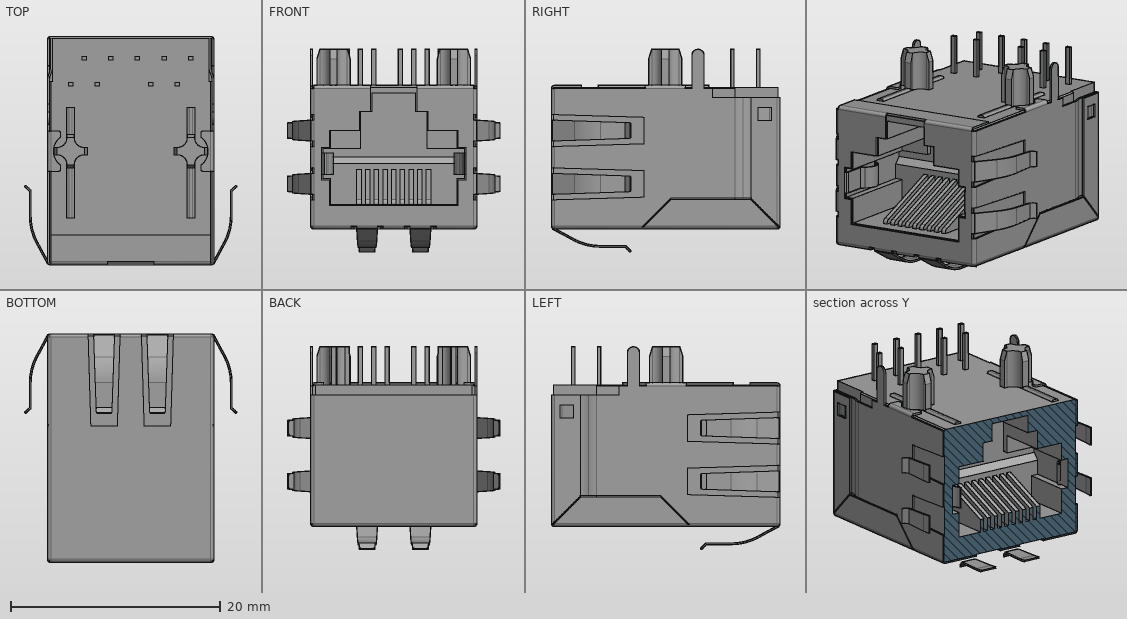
import cadquery as cq
import math

OVERALL_WIDTH = 20.3
OVERALL_HEIGHT = 19.37

WIDTH = 15.9
LENGTH = 21.85
HEIGHT = 13.74
SHEET = 0.2
BEND = 0.33
HALF_WIDTH = WIDTH / 2

WALL_TOP = HEIGHT - BEND
REAR_TOP = 12.58
REAR_STEP_Y = 15.4
FLAP_LENGTH = 2.88
FLAP_HALF_WIDTH = HALF_WIDTH - BEND

TAB_WIDTH = 3.85
TAB_INNER_X = 6.7
TAB_CORNER = 0.17
TAB_BITE_RADIUS = 1.64

LEG_Y = 14.0
LEG_WIDTH = 1.18

FINGER_PITCH = 5.09
FINGER_UPPER_Z = 9.41
FINGER_ROOT_Y = 0.13
FINGER_ROOT_OUT = -0.09
FINGER_ARC_START_Y = 2.25
FINGER_ARC_END_Y = 4.67
FINGER_FLAT_END_Y = 7.03
FINGER_FLAT_OUT = 1.64
FINGER_SLOPE = math.radians(27)
FINGER_HALF_ROOT = 1.0
FINGER_HALF_END = 0.75
FINGER_TIP_Y = 7.62
FINGER_TIP_OUT = (OVERALL_WIDTH - WIDTH) / 2
FINGER_TIP_CORNER = 0.22
FINGER_THICKNESS = 0.17
PIN_TOP = OVERALL_HEIGHT - FINGER_TIP_OUT
WINDOW_LENGTH = 8.82
WINDOW_HALF_FRONT = 1.53
WINDOW_HALF_REAR = 1.27

SEAM_TOP_Z = 2.97
SEAM_WIDTH = 0.13
SEAM_REAR_Y = 19.02
SEAM_FRONT_Y = 11.42

JOG_FRONT_Y = 17.54
JOG_REAR_Y = 19.07
JOG_DEPTH = 0.3
LATCH_FRONT_Y = 19.75
LATCH_RAMP_Y = 20.81
LATCH_REAR_Y = 21.0
LATCH_BOTTOM_Z = 10.35
LATCH_TOP_Z = 11.6

OPEN_FLOOR_Z = 2.27
OPEN_HALF_WIDTH = 6.14
OPEN_SHOULDER_Z = 9.41
KEY_HALF_WIDTH = 3.28
KEY_STEP_Z = 11.25
KEY_TOP_HALF_WIDTH = 2.2
WIPER_SLOT_HALF_WIDTH = 6.88
WIPER_SLOT_BOTTOM_Z = 4.72
WIPER_SLOT_TOP_Z = 7.8

WIPER_BOTTOM_Z = 5.25
WIPER_TOP_Z = 7.3
WIPER_BULGE_FRONT_Y = 2.4
WIPER_BULGE_REAR_Y = 5.02
WIPER_CONTACT_X = 5.77
WIPER_FLAT_X = 6.62
WIPER_CREASE_X = 6.27
WIPER_CREASE_Y = 2.73

HOUSING_HALF_WIDTH = HALF_WIDTH - SHEET
HOUSING_TOP = HEIGHT - SHEET
HOUSING_EDGE = 0.13
CAVITY_INSET = 0.1
CAVITY_ROOF_Z = 12.97
CAVITY_DEPTH_Y = 9.3
SILL_FRONT_Y = 8.74
SILL_BOTTOM_Z = 6.25
SILL_TOP_Z = 6.88

CONTACT_COUNT = 9
CONTACT_PITCH = 0.83
CONTACT_WIDTH = 0.44
CONTACT_FRONT_Y = 1.64
CONTACT_NOSE_Y = 1.97
CONTACT_NOSE_Z = 2.85
CONTACT_TOP_Z = 5.7

POST_X = 5.75
POST_Y = 10.88
POST_REACH = 1.6
POST_ARM_HALF = 0.35
POST_FLUTE_RADIUS = 0.95
POST_TAPER_IN = 0.28
POST_TAPER_HEIGHT = 0.92

RIDGE_FRONT_Y = 4.48
RIDGE_REAR_Y = 15.03
RIDGE_WIDTH = 0.75
RIDGE_ROUND = 0.25

PIN_WIDTH_X = 0.44
PIN_WIDTH_Y = 0.35
PIN_PITCH = FINGER_PITCH / 2
PIN_ROW_END_X = 5.72
REAR_ROW_Y = 19.75
FRONT_ROW_Y = 17.28
REAR_ROW = (0, 1, 2, 3, 4)
FRONT_ROW = (0, 1, 3, 4)


def block(x0, x1, y0, y1, z0, z1):
    """Axis-aligned box between two opposite corners."""
    return cq.Workplane("XY").box(x1 - x0, y1 - y0, z1 - z0, centered=False).translate((x0, y0, z0))


def side_prism(points, x0, x1):
    """Outline given as (Y, Z) points, extruded from x0 to x1."""
    return cq.Workplane("YZ").polyline(points).close().extrude(x1 - x0).translate((x0, 0, 0))


def with_mirror(body):
    """A left-hand feature together with its right-hand mirror image."""
    return body.union(body.mirror("YZ"))


def opening_outline(inset, top_z):
    """Stepped plug opening in the XZ plane, drawn inward by the inset."""
    side_x = OPEN_HALF_WIDTH - inset
    slot_x = WIPER_SLOT_HALF_WIDTH - inset
    key_x = KEY_HALF_WIDTH - inset
    key_top_x = KEY_TOP_HALF_WIDTH - inset
    right = [
        (side_x, OPEN_FLOOR_Z + inset),
        (side_x, WIPER_SLOT_BOTTOM_Z + inset),
        (slot_x, WIPER_SLOT_BOTTOM_Z + inset),
        (slot_x, WIPER_SLOT_TOP_Z - inset),
        (side_x, WIPER_SLOT_TOP_Z - inset),
        (side_x, OPEN_SHOULDER_Z),
        (key_x, OPEN_SHOULDER_Z),
        (key_x, KEY_STEP_Z),
        (key_top_x, KEY_STEP_Z),
        (key_top_x, top_z),
    ]
    left = [(-x, z) for x, z in reversed(right)]
    return cq.Workplane("XZ").polyline(right + left).close()


def tab_region():
    """Space kept for the left grounding tab, bitten out around the post."""
    tab = block(-HALF_WIDTH, -TAB_INNER_X, POST_Y - TAB_WIDTH / 2, POST_Y + TAB_WIDTH / 2, WALL_TOP, HEIGHT)
    tab = tab.edges("|Z and >X").fillet(TAB_CORNER)
    bite = cq.Workplane("XY").circle(TAB_BITE_RADIUS).extrude(HEIGHT).translate((-POST_X, POST_Y, 0))
    return tab.cut(bite)


def folded_box():
    """Hollow box with rounded bends, open on top except for the flap and tabs."""
    outer = block(-HALF_WIDTH, HALF_WIDTH, 0, LENGTH, 0, HEIGHT)
    outer = outer.faces("<Y or <Z or <X or >X").edges().fillet(BEND)
    inner = block(
        -HOUSING_HALF_WIDTH, HOUSING_HALF_WIDTH, SHEET, LENGTH - SHEET, SHEET, HOUSING_TOP
    )
    top = block(-WIDTH, WIDTH, 0, LENGTH, WALL_TOP, HEIGHT)
    flap = block(-FLAP_HALF_WIDTH, FLAP_HALF_WIDTH, 0, FLAP_LENGTH, WALL_TOP, HEIGHT)
    top = top.cut(flap).cut(with_mirror(tab_region()))
    rear = block(-WIDTH, WIDTH, REAR_STEP_Y, LENGTH, REAR_TOP, HEIGHT)
    opening = opening_outline(0, HEIGHT).extrude(-BEND)
    return outer.cut(inner).cut(top).cut(rear).cut(opening)


def finger():
    """Spring finger leaning out towards -X, rooted at the origin edge."""
    run = FINGER_ARC_END_Y - FINGER_ARC_START_Y
    radius = run / math.sin(FINGER_SLOPE)
    arc_start_out = FINGER_FLAT_OUT - radius * (1 - math.cos(FINGER_SLOPE))
    half = FINGER_THICKNESS / 2

    def arc_point(angle, offset):
        reach = radius + offset
        out = FINGER_FLAT_OUT - radius + reach * math.cos(angle)
        return -out, FINGER_ARC_END_Y - reach * math.sin(angle)

    lean = math.atan2(arc_start_out - FINGER_ROOT_OUT, FINGER_ARC_START_Y - FINGER_ROOT_Y)
    tip_shift = half / math.sqrt(2)

    def root_point(offset):
        return -(FINGER_ROOT_OUT + offset * math.cos(lean)), FINGER_ROOT_Y - offset * math.sin(lean)

    strip = (
        cq.Workplane("XY")
        .moveTo(*root_point(half))
        .lineTo(*arc_point(FINGER_SLOPE, half))
        .threePointArc(arc_point(FINGER_SLOPE / 2, half), arc_point(0, half))
        .lineTo(-(FINGER_FLAT_OUT + half), FINGER_FLAT_END_Y)
        .lineTo(-FINGER_TIP_OUT, FINGER_TIP_Y - 2 * tip_shift)
        .lineTo(-(FINGER_TIP_OUT - 2 * tip_shift), FINGER_TIP_Y)
        .lineTo(-(FINGER_FLAT_OUT - half), FINGER_FLAT_END_Y + half)
        .lineTo(*arc_point(0, -half))
        .threePointArc(arc_point(FINGER_SLOPE / 2, -half), arc_point(FINGER_SLOPE, -half))
        .lineTo(*root_point(-half))
        .close()
        .extrude(FINGER_HALF_ROOT, both=True)
    )
    taper = side_prism(
        [
            (0, -FINGER_HALF_ROOT),
            (FINGER_TIP_Y, -FINGER_HALF_END),
            (FINGER_TIP_Y, FINGER_HALF_END),
            (0, FINGER_HALF_ROOT),
        ],
        -2 * FINGER_TIP_OUT,
        BEND,
    )
    taper = taper.edges("|X and >Y").fillet(FINGER_TIP_CORNER)
    return strip.intersect(taper)


def finger_window():
    """Tapered wall cut-out around a finger, leaving the bend at its root."""
    window = side_prism(
        [
            (0, -WINDOW_HALF_FRONT),
            (WINDOW_LENGTH, -WINDOW_HALF_REAR),
            (WINDOW_LENGTH, WINDOW_HALF_REAR),
            (0, WINDOW_HALF_FRONT),
        ],
        0,
        BEND,
    )
    return window.cut(block(0, BEND, 0, BEND, -FINGER_HALF_ROOT, FINGER_HALF_ROOT))


def finger_places():
    """Turn about Y and position of every finger: two per side, two below."""
    places = []
    for z in (FINGER_UPPER_Z, FINGER_UPPER_Z - FINGER_PITCH):
        places.append((0, (-HALF_WIDTH, 0, z)))
        places.append((180, (HALF_WIDTH, 0, z)))
    for x in (-FINGER_PITCH / 2, FINGER_PITCH / 2):
        places.append((-90, (x, 0, 0)))
    return places


def place(body, turn, position):
    return body.rotate((0, 0, 0), (0, 1, 0), turn).translate(position)


def wall_seam():
    """Gap around the trapezoid flap in the left wall."""
    rise = SEAM_TOP_Z - SHEET
    flap = side_prism(
        [
            (SEAM_REAR_Y + rise, SHEET),
            (SEAM_REAR_Y, SEAM_TOP_Z),
            (SEAM_FRONT_Y, SEAM_TOP_Z),
            (SEAM_FRONT_Y - rise, SHEET),
        ],
        -HALF_WIDTH,
        -HOUSING_HALF_WIDTH,
    )
    return flap.cut(flap.translate((0, 0, -SEAM_WIDTH)))


def wall_jog():
    """Stretch of the left wall that curves inward and runs under the rear flap."""
    outer_x = -HALF_WIDTH
    inner_x = outer_x + JOG_DEPTH
    middle = (outer_x + JOG_DEPTH / 2, (JOG_FRONT_Y + JOG_REAR_Y) / 2)
    rear_y = LENGTH - SHEET
    return (
        cq.Workplane("XY")
        .moveTo(outer_x, JOG_FRONT_Y - SHEET)
        .lineTo(outer_x, JOG_FRONT_Y)
        .tangentArcPoint(middle, relative=False)
        .tangentArcPoint((inner_x, JOG_REAR_Y), relative=False)
        .lineTo(inner_x, rear_y)
        .lineTo(inner_x + SHEET, rear_y)
        .lineTo(inner_x + SHEET, JOG_REAR_Y)
        .tangentArcPoint((middle[0] + SHEET, middle[1]), relative=False)
        .tangentArcPoint((outer_x + SHEET, JOG_FRONT_Y), relative=False)
        .lineTo(outer_x + SHEET, JOG_FRONT_Y - SHEET)
        .close()
        .extrude(REAR_TOP - SEAM_TOP_Z)
        .translate((0, 0, SEAM_TOP_Z))
    )


def latch():
    """Ramp on the stepped-in wall that catches in the rear flap's window."""
    base_x = -HALF_WIDTH + JOG_DEPTH
    return (
        cq.Workplane("XY")
        .moveTo(base_x, LATCH_RAMP_Y)
        .lineTo(-HALF_WIDTH + SHEET / 2, LATCH_FRONT_Y)
        .lineTo(base_x, LATCH_FRONT_Y)
        .close()
        .extrude(LATCH_TOP_Z - LATCH_BOTTOM_Z)
        .translate((0, 0, LATCH_BOTTOM_Z))
    )


def solder_leg():
    """Round-ended leg standing on the left wall."""
    radius = LEG_WIDTH / 2
    return (
        cq.Workplane("YZ")
        .moveTo(LEG_Y - radius, REAR_TOP)
        .lineTo(LEG_Y - radius, PIN_TOP - radius)
        .threePointArc((LEG_Y, PIN_TOP), (LEG_Y + radius, PIN_TOP - radius))
        .lineTo(LEG_Y + radius, REAR_TOP)
        .close()
        .extrude(SHEET)
        .translate((-HALF_WIDTH, 0, 0))
    )


def wiper():
    """Spring folded in from the left edge of the opening, bulging into the cavity."""
    back_x = -(WIPER_SLOT_HALF_WIDTH - CAVITY_INSET)
    sheet = WIPER_FLAT_X - abs(back_x)
    bulge_y = (WIPER_BULGE_FRONT_Y + WIPER_BULGE_REAR_Y) / 2
    strip = (
        cq.Workplane("XY")
        .moveTo(-WIPER_SLOT_HALF_WIDTH, 0)
        .lineTo(-WIPER_FLAT_X, WIPER_SLOT_HALF_WIDTH - WIPER_FLAT_X)
        .lineTo(-WIPER_FLAT_X, WIPER_BULGE_FRONT_Y)
        .lineTo(-WIPER_CREASE_X, WIPER_CREASE_Y)
        .threePointArc((-WIPER_CONTACT_X, bulge_y), (-WIPER_FLAT_X, WIPER_BULGE_REAR_Y))
        .lineTo(back_x, WIPER_BULGE_REAR_Y)
        .threePointArc((sheet - WIPER_CONTACT_X, bulge_y), (sheet - WIPER_CREASE_X, WIPER_CREASE_Y))
        .lineTo(back_x, WIPER_BULGE_FRONT_Y)
        .lineTo(back_x, SHEET)
        .lineTo(-WIPER_SLOT_HALF_WIDTH, SHEET)
        .close()
        .extrude(WIPER_TOP_Z - WIPER_BOTTOM_Z)
    )
    return strip.translate((0, 0, WIPER_BOTTOM_Z))


def make_shield():
    shield = folded_box()
    jog_space = block(
        -HALF_WIDTH, -HOUSING_HALF_WIDTH, JOG_FRONT_Y, JOG_REAR_Y, SEAM_TOP_Z - SEAM_WIDTH, REAR_TOP
    )
    latch_window = block(
        -HALF_WIDTH, -HOUSING_HALF_WIDTH, LATCH_FRONT_Y, LATCH_REAR_Y, LATCH_BOTTOM_Z, LATCH_TOP_Z
    )
    shield = shield.cut(with_mirror(wall_seam().union(jog_space).union(latch_window)))
    for turn, position in finger_places():
        shield = shield.cut(place(finger_window(), turn, position))
    for turn, position in finger_places():
        shield = shield.union(place(finger(), turn, position))
    for feature in (wall_jog(), latch(), solder_leg(), wiper()):
        shield = shield.union(with_mirror(feature))
    return shield


def housing_block():
    """Body filling the shield, narrowed at the rear for the stepped-in walls."""
    body = block(
        -HOUSING_HALF_WIDTH, HOUSING_HALF_WIDTH, SHEET, LENGTH - SHEET, SHEET, HOUSING_TOP
    )
    body = body.edges("|Y and >Z").chamfer(HOUSING_EDGE)
    relief_x = -HALF_WIDTH + JOG_DEPTH + SHEET
    relief = block(-HALF_WIDTH, relief_x, JOG_FRONT_Y, LENGTH, 0, HEIGHT)
    return body.cut(with_mirror(relief))


def shoulder_stop():
    """Stop at the rear of the cavity behind the opening's left shoulder."""
    outer_x = CAVITY_INSET - OPEN_HALF_WIDTH
    inner_x = CAVITY_INSET - KEY_HALF_WIDTH
    bottom = WIPER_SLOT_TOP_Z - CAVITY_INSET
    return block(outer_x, inner_x, SILL_FRONT_Y, CAVITY_DEPTH_Y, bottom, OPEN_SHOULDER_Z)


def plug_cavity():
    """Stepped cavity whose rear wall has shoulder stops and a sloping sill."""
    cavity = opening_outline(CAVITY_INSET, CAVITY_ROOF_Z).extrude(-CAVITY_DEPTH_Y)
    sill = side_prism(
        [
            (SILL_FRONT_Y, 0),
            (SILL_FRONT_Y, SILL_BOTTOM_Z),
            (CAVITY_DEPTH_Y, SILL_TOP_Z),
            (CAVITY_DEPTH_Y, 0),
        ],
        -HALF_WIDTH,
        HALF_WIDTH,
    )
    return cavity.cut(sill).cut(with_mirror(shoulder_stop()))


def contact_rib(x):
    """Sloping contact with a rounded nose, standing on the cavity floor."""
    floor_z = OPEN_FLOOR_Z + CAVITY_INSET
    rise = CONTACT_NOSE_Z - floor_z
    run = CONTACT_NOSE_Y - CONTACT_FRONT_Y
    nose_middle = (CONTACT_FRONT_Y + run * (1 - math.sqrt(0.5)), floor_z + rise * math.sqrt(0.5))
    return (
        cq.Workplane("YZ")
        .moveTo(CONTACT_FRONT_Y, floor_z)
        .threePointArc(nose_middle, (CONTACT_NOSE_Y, CONTACT_NOSE_Z))
        .lineTo(SILL_FRONT_Y, CONTACT_TOP_Z)
        .lineTo(SILL_FRONT_Y, floor_z)
        .close()
        .extrude(CONTACT_WIDTH / 2, both=True)
        .translate((x, 0, 0))
    )


def post(x):
    """Cross-shaped post with concave flutes and arms tapered near the tip."""
    height = PIN_TOP - HOUSING_TOP
    centre = POST_ARM_HALF + POST_FLUTE_RADIUS
    middle = centre - POST_FLUTE_RADIUS / math.sqrt(2)

    def turned(px, py, quarter):
        for _ in range(quarter):
            px, py = -py, px
        return px, py

    cross = cq.Workplane("XY").moveTo(POST_REACH, -POST_ARM_HALF)
    for quarter in range(4):
        cross = (
            cross.lineTo(*turned(POST_REACH, POST_ARM_HALF, quarter))
            .lineTo(*turned(centre, POST_ARM_HALF, quarter))
            .threePointArc(turned(middle, middle, quarter), turned(POST_ARM_HALF, centre, quarter))
            .lineTo(*turned(POST_ARM_HALF, POST_REACH, quarter))
        )
    cross = cross.close().extrude(height)
    taper = cq.Workplane("XY").rect(2 * POST_REACH, 2 * POST_REACH).extrude(height)
    taper = taper.faces(">Z").edges().chamfer(POST_TAPER_HEIGHT, POST_TAPER_IN)
    return cross.intersect(taper).translate((x, POST_Y, HOUSING_TOP))


def ridge(x):
    """Low ridge along Y with rounded upper edges, its foot sunk into the housing."""
    half = RIDGE_WIDTH / 2
    body = block(x - half, x + half, RIDGE_FRONT_Y, RIDGE_REAR_Y, HEIGHT - 2 * RIDGE_ROUND, HEIGHT)
    return body.edges("|Y and >Z").fillet(RIDGE_ROUND)


def signal_pin(x, y):
    half_x = PIN_WIDTH_X / 2
    half_y = PIN_WIDTH_Y / 2
    return block(x - half_x, x + half_x, y - half_y, y + half_y, HOUSING_TOP, PIN_TOP)


def make_housing():
    housing = housing_block().cut(plug_cavity())
    for i in range(CONTACT_COUNT):
        housing = housing.union(contact_rib((i - (CONTACT_COUNT - 1) / 2) * CONTACT_PITCH))
    for x in (-POST_X, POST_X):
        housing = housing.union(post(x)).union(ridge(x))
    for i in REAR_ROW:
        housing = housing.union(signal_pin(PIN_ROW_END_X - i * PIN_PITCH, REAR_ROW_Y))
    for i in FRONT_ROW:
        housing = housing.union(signal_pin(i * PIN_PITCH - PIN_ROW_END_X, FRONT_ROW_Y))
    return housing


shield = make_shield()
housing = make_housing()
result = cq.Compound.makeCompound([shield.val(), housing.val()])